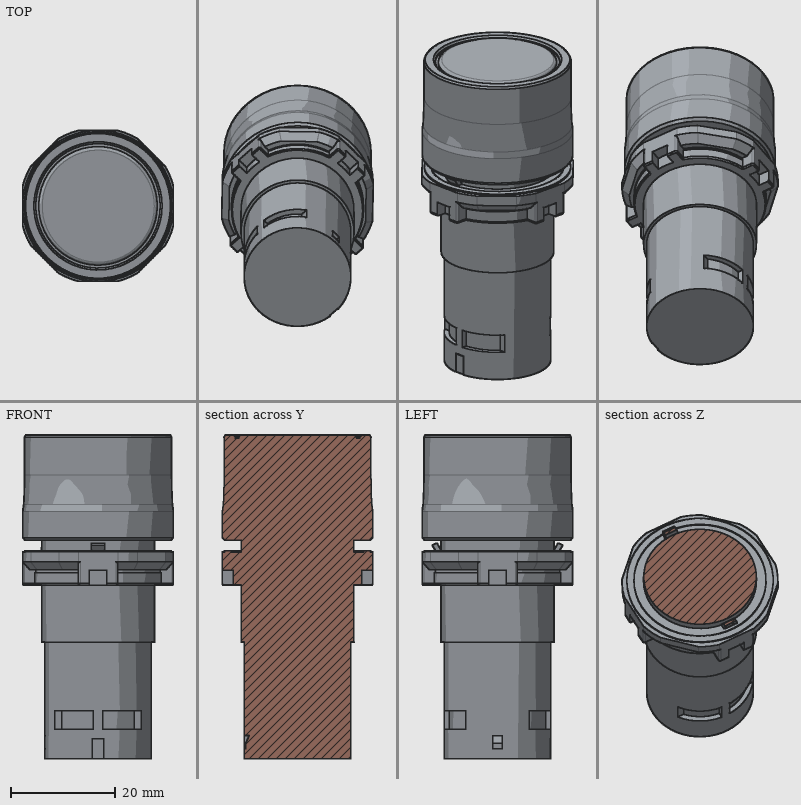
import cadquery as cq
import math

total_height = 62.2
body_radius = 20.5 / 2
neck_radius = 21.7 / 2
head_radius = 29.0 / 2

neck_bottom = 22.4
nut_bottom = 33.35
nut_top = 39.75
head_bottom = 41.9
collar_top = 47.6
waist_bottom = 48.9
waist_top = 54.55

collar_foot_radius = 28 / 2
collar_foot_height = 0.55
flare_radius = 14.3
waist_bow = 0.25
bezel_radius = 28.3 / 2
bezel_top_radius = 27.8 / 2
bezel_edge_height = 0.45
groove_outer_radius = 11.95
groove_inner_radius = 11.4
groove_depth = 0.6
groove_chamfer = 0.4
lens_rounding = 0.6

nut_sides = 8
nut_half_width = head_radius
nut_flat_half_width = 3.8
nut_rim_bottom = 37.8
nut_taper_bottom = 36.25
nut_taper_half_width = 13.1
ring_radius = 25.4 / 2
ring_top = 35.75
ring_neck_radius = 12.55
foot_inset = 0.2
foot_height = 0.4
lug_rounding = 0.4
lug_slot_width = 3.35
lug_slot_top = 36.2
lug_slot_floor = 12.45

gasket_radius = 14.05
gasket_thickness = 0.25

hook_width = 2.55
hook_root_inner = 10.65
hook_root_outer = 11.75
hook_bend = 11.65
hook_top = 41.5
hook_tip = 12.55
hook_tip_height = 41.0
hook_rounding = 0.25

window_bottom = 5.65
window_top = 9.2
window_gap = 1.75
window_wall = 6.1
window_floor_radius = 9.25
label_width = 2.1
label_height = 3.85
label_depth = 0.2
latch_width = 1.8
latch_bottom = 2.0
latch_knee = 3.0
latch_top = 4.5
latch_shallow = 0.3
latch_deep = 0.95

overshoot = 0.6
overlap = 0.6


def cylinder(radius, bottom, top):
    return cq.Workplane("XY").workplane(offset=bottom).circle(radius).extrude(top - bottom)


def block(x_range, y_range, z_range):
    spans = [high - low for low, high in (x_range, y_range, z_range)]
    return cq.Workplane("XY").box(*spans, centered=False).translate((x_range[0], y_range[0], z_range[0]))


def four_around(shape):
    """Four copies of a shape, a quarter turn apart about the part axis."""
    copies = cq.Workplane("XY")
    for angle in range(0, 360, 90):
        copies = copies.add(shape.rotate((0, 0, 0), (0, 0, 1), angle))
    return copies.combine()


def make_stem():
    return cylinder(body_radius, 0, neck_bottom).union(cylinder(neck_radius, neck_bottom, head_bottom))


def make_head():
    """Revolved head, with the lens standing in a shallow groove."""
    groove_floor = total_height - groove_depth
    waist_middle = (waist_bottom + waist_top) / 2
    waist_middle_radius = bezel_radius + waist_bow * (flare_radius - bezel_radius)
    profile = (
        cq.Workplane("XZ")
        .moveTo(0, head_bottom)
        .lineTo(collar_foot_radius, head_bottom)
        .lineTo(head_radius, head_bottom + collar_foot_height)
        .lineTo(head_radius, collar_top)
        .lineTo(flare_radius, waist_bottom)
        .threePointArc((waist_middle_radius, waist_middle), (bezel_radius, waist_top))
        .lineTo(bezel_radius, total_height - bezel_edge_height)
        .lineTo(bezel_top_radius, total_height)
        .lineTo(groove_outer_radius + groove_chamfer, total_height)
        .lineTo(groove_outer_radius, total_height - groove_chamfer)
        .lineTo(groove_outer_radius, groove_floor)
        .lineTo(groove_inner_radius, groove_floor)
        .radiusArc((groove_inner_radius - lens_rounding, total_height), -lens_rounding)
        .lineTo(0, total_height)
        .close()
    )
    return profile.revolve(360, (0, 0), (0, 1))


def nut_outline(half_width, height):
    """Octagon with every corner rounded about the part axis, as a wire at the given height."""
    flat_half = nut_flat_half_width * half_width / nut_half_width
    corner_radius = math.hypot(half_width, flat_half)
    corner_angle = math.atan2(flat_half, half_width)
    step = 2 * math.pi / nut_sides

    def corner_point(angle):
        return (corner_radius * math.cos(angle), corner_radius * math.sin(angle))

    outline = cq.Workplane("XY").workplane(offset=height).moveTo(*corner_point(-corner_angle))
    for index in range(nut_sides):
        flat_angle = index * step
        outline = outline.lineTo(*corner_point(flat_angle + corner_angle)).threePointArc(
            corner_point(flat_angle + step / 2), corner_point(flat_angle + step - corner_angle)
        )
    return outline.wire()


def make_lug():
    """Lug on the +X side, with rounded outer corners and a chamfered foot."""
    half = nut_flat_half_width
    lug = block((neck_radius - overlap, nut_half_width), (-half, half), (nut_bottom, nut_rim_bottom))
    lug = lug.edges("|Z and >X").fillet(lug_rounding)
    lug = lug.faces("<Z").edges(">X").chamfer(foot_height, foot_inset)
    return lug


def make_nut():
    """Panel nut with its slotted lugs and the gasket on top."""
    rim = nut_outline(nut_half_width, nut_rim_bottom).extrude(nut_top - nut_rim_bottom)
    taper = cq.Workplane(
        cq.Solid.makeLoft(
            [
                nut_outline(nut_taper_half_width, nut_taper_bottom).val(),
                nut_outline(nut_half_width, nut_rim_bottom).val(),
            ],
            True,
        )
    )
    ring = cylinder(ring_radius, nut_bottom, ring_top).faces("<Z").chamfer(foot_height, foot_inset)
    ring_neck = cylinder(ring_neck_radius, ring_top, nut_taper_bottom)
    lugs = four_around(make_lug())
    slot_half = lug_slot_width / 2
    slot_reach = (neck_radius, nut_half_width + overshoot)
    slot = block(slot_reach, (-slot_half, slot_half), (nut_bottom, lug_slot_top))
    slots = four_around(slot.cut(cylinder(lug_slot_floor, nut_bottom, lug_slot_top)))
    gasket = cylinder(gasket_radius, nut_top, nut_top + gasket_thickness)
    gasket = gasket.cut(cylinder(ring_radius, nut_top, nut_top + gasket_thickness))
    return rim.union(taper).union(ring_neck).union(ring).union(lugs).cut(slots).union(gasket)


def make_hooks():
    """Bent spring hooks on the +Y and -Y sides of the neck."""
    profile = [
        (hook_root_inner, nut_top),
        (hook_bend, hook_top),
        (hook_tip, hook_tip_height),
        (hook_root_outer, nut_top),
    ]
    hook = cq.Workplane("YZ").polyline(profile).close().extrude(hook_width / 2, both=True)
    hook = hook.edges(">Z").fillet(hook_rounding)
    return hook.union(hook.mirror("XZ"))


def make_windows():
    """Four curved pockets, two on the -Y side and two on the +Y side."""
    reach = body_radius + overshoot
    z_range = (window_bottom, window_top)
    window = block((window_gap / 2, reach), (window_wall, reach), z_range)
    window = window.cut(cylinder(window_floor_radius, *z_range))
    pair = window.union(window.mirror("YZ"))
    return pair.union(pair.mirror("XZ"))


def make_label_recess():
    half = label_width / 2
    return block((-half, half), (-body_radius - overshoot, label_depth - body_radius), (0, label_height))


def make_latch_pocket():
    """Pocket on the -X side whose floor slopes inward towards the top."""
    profile = [
        (-body_radius - overshoot, latch_bottom),
        (latch_shallow - body_radius, latch_bottom),
        (latch_shallow - body_radius, latch_knee),
        (latch_deep - body_radius, latch_top),
        (-body_radius - overshoot, latch_top),
    ]
    return cq.Workplane("XZ").polyline(profile).close().extrude(latch_width / 2, both=True)


result = (
    make_stem()
    .union(make_nut())
    .union(make_hooks())
    .union(make_head())
    .cut(make_windows())
    .cut(make_label_recess())
    .cut(make_latch_pocket())
)